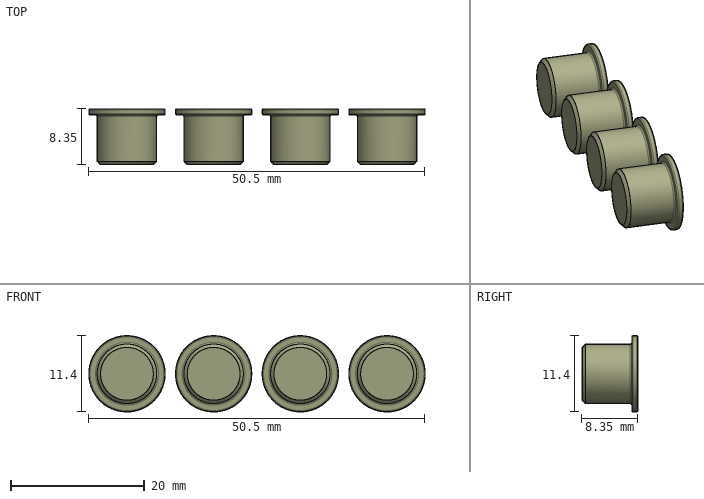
import cadquery as cq

row_length = 50.45
plug_count = 4
flange_diameter = 11.45
pitch = (row_length - flange_diameter) / (plug_count - 1)

plug_length = 8.35
flange_thickness = 0.9
shank_diameter = 8.95
tip_chamfer = 0.5
root_fillet = 0.25
rim_fillet = 0.2

flange_radius = flange_diameter / 2
shank_radius = shank_diameter / 2


def make_plug(x_center):
    """Solid flanged plug, turned about Y, with the flange's back face at Y = 0."""
    profile = (
        cq.Workplane("XY")
        .lineTo(flange_radius - rim_fillet, 0)
        .tangentArcPoint((rim_fillet, -rim_fillet))
        .lineTo(flange_radius, rim_fillet - flange_thickness)
        .tangentArcPoint((-rim_fillet, -rim_fillet))
        .lineTo(shank_radius + root_fillet, -flange_thickness)
        .tangentArcPoint((-root_fillet, -root_fillet))
        .lineTo(shank_radius, tip_chamfer - plug_length)
        .lineTo(shank_radius - tip_chamfer, -plug_length)
        .lineTo(0, -plug_length)
        .close()
    )
    plug = profile.revolve(360, (0, 0, 0), (0, 1, 0))
    return plug.translate((x_center, 0, 0))


first_x = -pitch * (plug_count - 1) / 2
plugs = [make_plug(first_x + index * pitch) for index in range(plug_count)]

result = cq.Compound.makeCompound([plug.val() for plug in plugs])